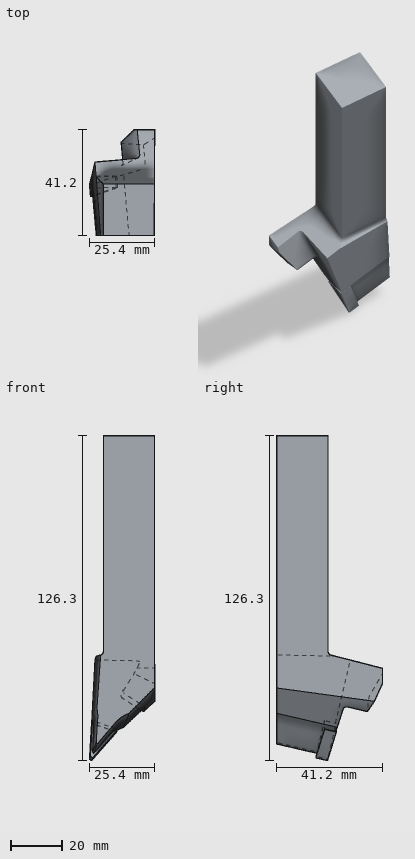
import cadquery as cq
import math

SHANK_SIZE = 20.0
FRONT_Y = -SHANK_SIZE
SHANK_SINK = 10.0
RIGHT_DRAFT = 0.25
BACK_Y = 21.15

SHOULDER_Z = -84.97
SHOULDER_SLOPE = 14.4
SHOULDER_FILLET = 1.5

HEAD_ORIGIN = (0, 8.9, -87.3)
HEAD_TILT = 13.0
HEAD_TURN = 5.0
PROFILE_TOP = 8.0
PROFILE_RIGHT = 26.0
HEAD_DEPTH = 45.0

LEFT_U = -3.31
LEFT_LEAN = 0.051
FLANK_DROP = 34.5
GROOVE_TOP_V = -24.8
FLANK_GROOVE_U = 7.9
SEAT_LEFT_TOP = (-4.18, -28.6)
SEAT_LEFT_FOOT = (-4.6, -37.7)
SEAT_TIP = (-4.2, -38.25)
SEAT_FLANK_TOP = (2.6, -30.26)
GROOVE_RADIUS = 12.7

LUG_CORNER = (7.3, -12.2)
LUG_TURN = 30.0
LUG_BOTTOM_SLOPE = 32.5
LUG_SIDE = 25.0
LUG_CORNER_FILLET = 1.27
LUG_BASE_FILLET = 1.5
LUG_REACH = 16.0
LUG_END_POINT = (11.9, BACK_Y, -92.5)
LUG_END_RELIEF = 13.0

INSERT_SEAT_WIDTH = 4.4
INSERT_OVERHANG = 0.3
INSERT_TOP_LEFT = (-4.62, -25.2)
INSERT_LEFT_FOOT = (-5.435, -39.5)
INSERT_TIP = (-4.6, -40.1)
INSERT_TOP_RIGHT = (5.2, -28.5)

TRIM_SIZE = 400.0


def sin_deg(angle):
    return math.sin(math.radians(angle))


def cos_deg(angle):
    return math.cos(math.radians(angle))


def tan_deg(angle):
    return math.tan(math.radians(angle))


UP = cq.Vector(0, sin_deg(HEAD_TILT), cos_deg(HEAD_TILT))
TILTED_BACK = cq.Vector(0, cos_deg(HEAD_TILT), -sin_deg(HEAD_TILT))
RIGHTWARD = cq.Vector(cos_deg(HEAD_TURN), 0, 0) + TILTED_BACK * sin_deg(HEAD_TURN)
FORWARD = cq.Vector(sin_deg(HEAD_TURN), 0, 0) - TILTED_BACK * cos_deg(HEAD_TURN)
HEAD_PLANE = cq.Plane(origin=HEAD_ORIGIN, xDir=RIGHTWARD, normal=FORWARD)


def block_beyond(point, normal):
    """Large block filling the space beyond the plane through point, on the side of its normal."""
    plane = cq.Plane(origin=point, normal=normal)
    return cq.Workplane(plane).rect(TRIM_SIZE, TRIM_SIZE).extrude(TRIM_SIZE)


def left_face_u(v):
    return LEFT_U + LEFT_LEAN * v


def make_head_prism():
    """Head profile with a hollow groove leading into the recessed seat on each side of the tip."""
    return (
        cq.Workplane(HEAD_PLANE)
        .moveTo(left_face_u(PROFILE_TOP), PROFILE_TOP)
        .lineTo(left_face_u(GROOVE_TOP_V), GROOVE_TOP_V)
        .radiusArc(SEAT_LEFT_TOP, GROOVE_RADIUS)
        .lineTo(*SEAT_LEFT_FOOT)
        .lineTo(*SEAT_TIP)
        .lineTo(*SEAT_FLANK_TOP)
        .radiusArc((FLANK_GROOVE_U, FLANK_GROOVE_U - FLANK_DROP), GROOVE_RADIUS)
        .lineTo(PROFILE_RIGHT, PROFILE_RIGHT - FLANK_DROP)
        .lineTo(PROFILE_RIGHT, PROFILE_TOP)
        .close()
        .extrude(HEAD_DEPTH)
    )


def make_lug_prism():
    """Lug bounded by its slanted side, a rounded corner and the flank of the head."""
    corner_u, corner_v = LUG_CORNER
    side_top = (corner_u + LUG_SIDE * sin_deg(LUG_TURN), corner_v + LUG_SIDE * cos_deg(LUG_TURN))
    bottom_slope = tan_deg(LUG_BOTTOM_SLOPE)
    bottom_end_u = (corner_v + bottom_slope * corner_u + FLANK_DROP) / (1 + bottom_slope)
    prism = (
        cq.Workplane(HEAD_PLANE)
        .moveTo(*side_top)
        .lineTo(corner_u, corner_v)
        .lineTo(bottom_end_u, bottom_end_u - FLANK_DROP)
        .lineTo(PROFILE_RIGHT, PROFILE_RIGHT - FLANK_DROP)
        .lineTo(PROFILE_RIGHT, side_top[1])
        .close()
        .extrude(-LUG_REACH)
    )
    corner_middle = HEAD_PLANE.toWorldCoords((corner_u, corner_v, -LUG_REACH / 2))
    return prism.edges(cq.NearestToPointSelector(corner_middle)).fillet(LUG_CORNER_FILLET)


def trim_lug_end(body):
    """Square off the rear of the lug and slant its lower end."""
    down_the_side = RIGHTWARD * -sin_deg(LUG_TURN) - UP * cos_deg(LUG_TURN)
    slant = FORWARD * -cos_deg(LUG_END_RELIEF) + down_the_side * sin_deg(LUG_END_RELIEF)
    return body.cut(block_beyond((0, BACK_Y, 0), (0, 1, 0))).cut(block_beyond(LUG_END_POINT, slant))


def fillet_lug_base(body):
    """Round the inner corner where the lug side, corner and bottom leave the back of the head."""
    corner_u, corner_v = LUG_CORNER
    half_side = LUG_SIDE / 2
    on_side = (corner_u + half_side * sin_deg(LUG_TURN), corner_v + half_side * cos_deg(LUG_TURN), 0)
    base_edge = cq.NearestToPointSelector(HEAD_PLANE.toWorldCoords(on_side))
    return body.edges(base_edge).fillet(LUG_BASE_FILLET)


def make_shank():
    """Square bar reaching a little way down into the head."""
    shank_bottom = SHOULDER_Z - SHANK_SINK
    bar = cq.Workplane("XY").box(SHANK_SIZE, SHANK_SIZE, -shank_bottom, centered=False)
    return bar.translate((0, FRONT_Y, shank_bottom))


def make_head():
    """Head and lug cut level with the front of the shank and topped by the two shoulder faces."""
    head = trim_lug_end(fillet_lug_base(make_head_prism().union(make_lug_prism())))
    across = sin_deg(SHOULDER_SLOPE)
    upward = cos_deg(SHOULDER_SLOPE)
    shoulder_point = (0, 0, SHOULDER_Z)
    return (
        head.cut(block_beyond((0, FRONT_Y, 0), (0, -1, 0)))
        .cut(block_beyond(shoulder_point, (0, across, upward)))
        .cut(block_beyond(shoulder_point, (-across, 0, upward)))
    )


def fillet_shoulder(body):
    """Round the inner corners where the shank meets the left and back shoulder faces."""
    left_joint = cq.NearestToPointSelector((0, FRONT_Y / 2, SHOULDER_Z))
    back_joint = cq.NearestToPointSelector((SHANK_SIZE / 2, 0, SHOULDER_Z))
    return body.edges(left_joint).add(body.edges(back_joint)).fillet(SHOULDER_FILLET)


def make_holder():
    """Shank and head as one body, drafted along the whole right side."""
    draft_normal = (cos_deg(RIGHT_DRAFT), -sin_deg(RIGHT_DRAFT), 0)
    beyond_right_side = block_beyond((SHANK_SIZE, BACK_Y, 0), draft_normal)
    return fillet_shoulder(make_head().union(make_shank()).cut(beyond_right_side))


def make_insert():
    """Wedge across the tip, seated in the head and overhanging its back face."""
    return (
        cq.Workplane(HEAD_PLANE)
        .workplane(offset=-INSERT_OVERHANG)
        .polyline([INSERT_TOP_LEFT, INSERT_LEFT_FOOT, INSERT_TIP, INSERT_TOP_RIGHT])
        .close()
        .extrude(INSERT_OVERHANG + INSERT_SEAT_WIDTH)
    )


insert = make_insert()
holder = make_holder().cut(insert)

result = cq.Compound.makeCompound([holder.solids().val(), insert.val()])